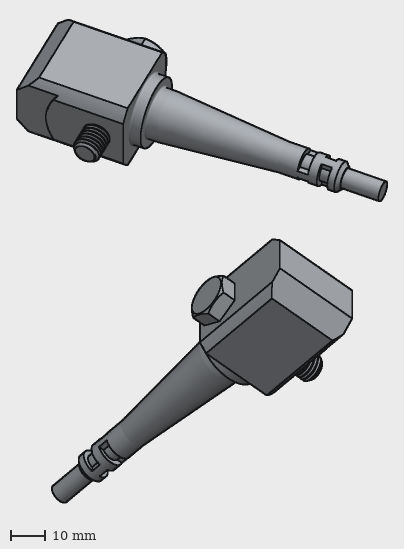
import cadquery as cq
import math

total_length = 111.2

block_length = 34.7
block_half_height = 12.6
block_back_y = 14.5
pad_face_y = -15.0
pad_height = 0.9
pad_radius = 16.3
nose_chamfer = 6.2
corner_radius = 17.3

flange_diameter = 22.0
flange_end = 38.4
root_fillet = 0.6
boot_root_diameter = 15.9
taper_start = 42.0
taper_end = 79.4
boot_tip_diameter = 9.6
boot_end = 99.1
boot_chamfer = 1.3
cable_diameter = 6.2

window_length = 3.3
window_starts = (85.8, 92.2)
rib_thickness = 3.0

bolt_x = 26.1
head_across_flats = 13.1
head_height = 5.2
head_crown_diameter = 12.6
head_crown_height = 0.8
thread_diameter = 8.5
thread_root_diameter = 6.7
thread_pitch = 1.2
thread_groove_width = 1.0
tip_diameter = 6.2
thread_length = 8.2
thread_start_angle = 180


def y_cylinder(diameter, y_start, length):
    """Cylinder on the bolt axis that runs from y_start toward -Y."""
    plane = cq.Workplane("XZ", origin=(bolt_x, y_start, 0))
    return plane.circle(diameter / 2).extrude(length)


def make_block():
    half = block_half_height
    shoulder = half - nose_chamfer
    nose = [
        (0, -shoulder),
        (nose_chamfer, -half),
        (block_length, -half),
        (block_length, half),
        (nose_chamfer, half),
        (0, shoulder),
    ]
    depth = block_back_y - pad_face_y
    block = cq.Workplane("XZ", origin=(0, block_back_y, 0)).polyline(nose).close().extrude(depth)
    block = block.intersect(cq.Workplane("YZ").circle(corner_radius).extrude(block_length))
    lowered = (
        cq.Workplane("XZ", origin=(0, pad_face_y + pad_height, 0))
        .rect(2 * bolt_x, 4 * half)
        .extrude(pad_height)
    )
    return block.cut(lowered.cut(y_cylinder(2 * pad_radius, pad_face_y + pad_height, pad_height)))


def make_cable_boot():
    """Flange, tapered boot and cable as one revolved profile about X."""
    flange_r = flange_diameter / 2
    root_r = boot_root_diameter / 2
    tip_r = boot_tip_diameter / 2
    cable_r = cable_diameter / 2
    arc_offset = root_fillet * (1 - math.sqrt(0.5))
    profile = (
        cq.Workplane("XY")
        .moveTo(block_length, 0)
        .lineTo(block_length, flange_r + root_fillet)
        .threePointArc(
            (block_length + arc_offset, flange_r + arc_offset),
            (block_length + root_fillet, flange_r),
        )
        .lineTo(flange_end, flange_r)
        .lineTo(flange_end, root_r + root_fillet)
        .threePointArc(
            (flange_end + arc_offset, root_r + arc_offset),
            (flange_end + root_fillet, root_r),
        )
        .lineTo(taper_start, root_r)
        .lineTo(taper_end, tip_r)
        .lineTo(boot_end - boot_chamfer, tip_r)
        .lineTo(boot_end, tip_r - boot_chamfer)
        .lineTo(boot_end, cable_r)
        .lineTo(total_length, cable_r)
        .lineTo(total_length, 0)
        .close()
    )
    return profile.revolve(360, (0, 0, 0), (1, 0, 0))


def make_window(start, turn):
    """Ring cutter around the cable, split by a rib that is turned about X."""
    ring = (
        cq.Workplane("YZ", origin=(start, 0, 0))
        .circle(boot_tip_diameter)
        .circle(cable_diameter / 2)
        .extrude(window_length)
    )
    rib = (
        cq.Workplane("YZ", origin=(start, 0, 0))
        .rect(4 * boot_tip_diameter, rib_thickness)
        .extrude(window_length)
    )
    return ring.cut(rib).rotate((0, 0, 0), (1, 0, 0), turn)


def make_housing():
    housing = make_block().union(make_cable_boot())
    for index, start in enumerate(window_starts):
        housing = housing.cut(make_window(start, 90 * index))
    return housing.cut(y_cylinder(thread_diameter, block_back_y, block_back_y - pad_face_y))


def make_head():
    corner_diameter = head_across_flats / math.cos(math.pi / 6)
    hexagon = (
        cq.Workplane("XZ", origin=(bolt_x, block_back_y + head_height, 0))
        .transformed(rotate=(0, 0, 90))
        .polygon(6, corner_diameter)
        .extrude(head_height)
    )
    crown_chamfer = (corner_diameter - head_crown_diameter) / 2
    envelope = (
        y_cylinder(corner_diameter, block_back_y + head_height, head_height)
        .faces(">Y")
        .chamfer(head_crown_height, crown_chamfer)
    )
    return hexagon.intersect(envelope)


def make_thread():
    """Threaded end, built along +Z and then laid along -Y."""
    tip_chamfer = (thread_diameter - tip_diameter) / 2
    rod = cq.Workplane("XY").circle(thread_diameter / 2).extrude(thread_length)
    rod = rod.faces(">Z").chamfer(tip_chamfer)
    root_r = thread_root_diameter / 2
    depth = thread_diameter / 2 - root_r
    overshoot = 0.2
    mouth = thread_groove_width / 2 * (1 + overshoot / depth)
    helix_length = thread_length + 2 * thread_pitch
    helix = cq.Wire.makeHelix(thread_pitch, helix_length, root_r)
    groove = (
        cq.Workplane("XZ")
        .moveTo(root_r, 0)
        .lineTo(root_r + depth + overshoot, mouth)
        .lineTo(root_r + depth + overshoot, -mouth)
        .close()
        .sweep(helix, isFrenet=True)
        .rotate((0, 0, 0), (0, 0, 1), thread_start_angle)
        .translate((0, 0, -thread_pitch))
    )
    thread = rod.cut(groove)
    return thread.rotate((0, 0, 0), (1, 0, 0), 90).translate((bolt_x, pad_face_y, 0))


def make_bolt():
    shank = y_cylinder(thread_diameter, block_back_y, block_back_y - pad_face_y)
    return make_head().union(shank).union(make_thread())


housing = make_housing()
bolt = make_bolt()
result = cq.Compound.makeCompound([housing.val(), bolt.val()])